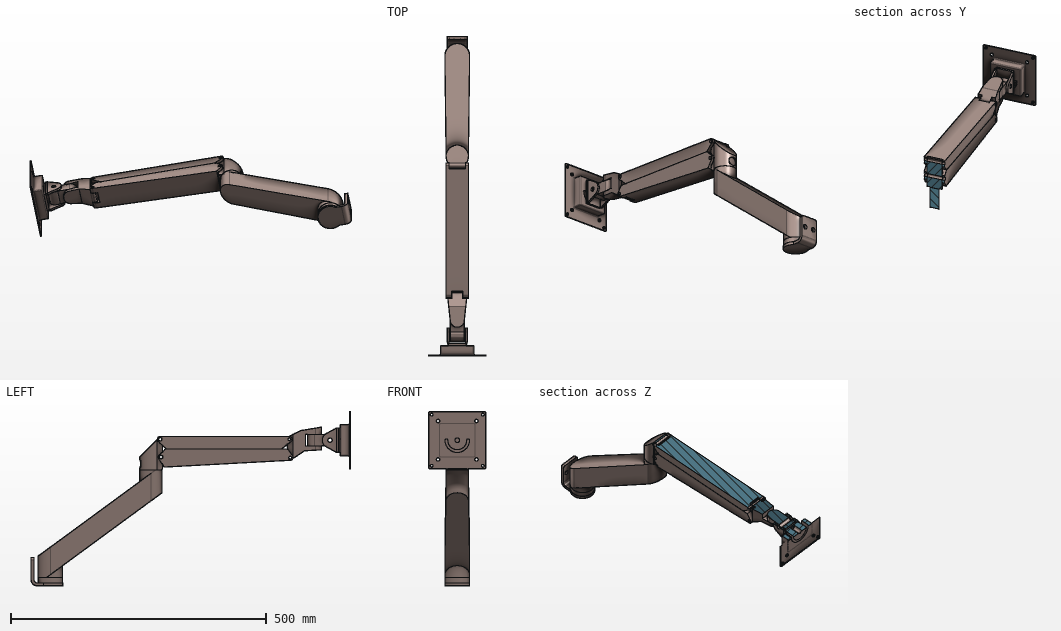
import cadquery as cq
import math




def tangent_outline(plane, discs):
    """Closed convex outline wrapped around discs (u, v, radius), listed counter-clockwise.

    A radius of zero makes a sharp corner.
    """
    count = len(discs)
    normals = []
    for i in range(count):
        u1, v1, r1 = discs[i]
        u2, v2, r2 = discs[(i + 1) % count]
        length = math.hypot(u2 - u1, v2 - v1)
        heading = math.atan2(v2 - v1, u2 - u1)
        normals.append(heading - math.pi / 2 + math.asin((r1 - r2) / length))

    def on_disc(disc, angle):
        return (disc[0] + disc[2] * math.cos(angle), disc[1] + disc[2] * math.sin(angle))

    outline = cq.Workplane(plane).moveTo(*on_disc(discs[0], normals[0]))
    for i in range(count):
        disc = discs[(i + 1) % count]
        arrive = normals[i]
        sweep = (normals[(i + 1) % count] - arrive) % (2 * math.pi)
        outline = outline.lineTo(*on_disc(disc, arrive))
        if disc[2] > 0:
            middle = on_disc(disc, arrive + sweep / 2)
            outline = outline.threePointArc(middle, on_disc(disc, arrive + sweep))
    return outline.close()


def side_profile(discs, width):
    """Solid of the given X width, centred on X = 0, from a tangent outline in (Y, Z)."""
    return tangent_outline("YZ", discs).extrude(width / 2, both=True)


def block(width, y_range, z_range):
    """Box centred on X = 0."""
    (y0, y1), (z0, z1) = y_range, z_range
    return cq.Workplane("XY").box(width, y1 - y0, z1 - z0).translate((0, (y0 + y1) / 2, (z0 + z1) / 2))


def post(diameter, y, z_range):
    """Vertical cylinder on the X = 0 plane."""
    z0, z1 = z_range
    return cq.Workplane("XY", origin=(0, y, z0)).circle(diameter / 2).extrude(z1 - z0)


def cross_pin(diameter, center, length):
    """Cylinder along X, centred on X = 0, at a (Y, Z) position."""
    return cq.Workplane("YZ").center(*center).circle(diameter / 2).extrude(length / 2, both=True)



total_length = 624.38
plate_size = 112.0
plate_top_z = 340.66
head_z = plate_top_z - plate_size / 2
through = 100.0

base_y = 586.3
base_diameter = 48.0
base_rim_diameter = 48.8
hook_width = 40.0
hook_thickness = 6.0
hook_height = 55.6
hook_bend_inner = 6.5
hook_corner_radius = 5.0
hook_hole_diameter = 9.0
hook_hole_spacing = 22.0
hook_hole_z = 33.0
base_joint_z = 16.0

elbow_y = 390.0
elbow_diameter = 44.0
elbow_joint_z = 226.3
arm_slope = 0.733
arm_top_at_base = 76.0
arm_vertical_depth = 54.0

elbow_low_z = 252.0
elbow_knuckle_width = 32.0
elbow_shoulder_y = 378.0
elbow_knuckle_front_y = 367.0
elbow_knuckle_radius = 5.0
elbow_knuckle_chamfer = 3.0
elbow_recess_diameter = 18.0
elbow_recess_depth = 3.0
elbow_recess_z = 238.5

link_width = 44.0
link_end_radius = 5.5
knuckle_clearance = 1.0
upper_rear_pivot = (372.0, 286.5)
lower_rear_pivot = (370.2, 251.7)
upper_front_pivot = (119.6, 286.5)
lower_front_pivot = (117.8, 250.7)
rear_pivot_diameter = 6.2
front_pivot_diameter = 5.0
link_split_z = 267.5
upper_rear_corner_y = 360.5
upper_front_corner_y = 134.5
lower_rear_corner_y = 361.5
lower_front_corner_y = 122.5
lower_link_heel = (364.3, 231.9)

wrist_rear_y = 112.0
wrist_rear_width = 37.0
wrist_rear_bottom = (wrist_rear_y, 249.0)
wrist_top_break = (97.0, 303.7)
wrist_front_top = (50.0, 311.5)
wrist_front_bottom = (50.0, 266.0)
wrist_bottom_break = (90.0, 263.7)
pan_y = 70.3
pan_diameter = 28.0
wrist_knuckle_width = 21.0
wrist_knuckle_upper_radius = 5.5
wrist_knuckle_lower_radius = 4.0
slot_rear_y = 87.6
tongue_thickness = 22.6
tongue_width = 28.0
tilt_y = 40.2
tilt_barrel_diameter = 26.5
tilt_hole_diameter = 8.0

plate_thickness = 1.9
plate_corner_radius = 3.0
vesa_patterns = [(100.0, 5.0), (75.0, 6.2)]
hub_width, hub_height = 66.0, 62.0
hub_rear_y = 20.2
hub_edge_radius = 1.8
hub_foot_radius = 2.0
center_hole_diameter = 9.0
arc_groove_outer_diameter = 48.0
arc_groove_width = 5.5
yoke_width = 40.0
yoke_gap = 32.0
yoke_end_radius = 15.0
yoke_base_height = 48.0
yoke_cheek_root_y = 27.4
yoke_pocket_y = 24.5
yoke_foot_y = 23.6
yoke_plate_width = 39.0
yoke_foot_width = 36.0



def make_base():
    hook_rear_y = total_length
    plate_z = (0, hook_thickness)
    floor = block(hook_width, (base_y, hook_rear_y), plate_z)
    upright = block(hook_width, (hook_rear_y - hook_thickness, hook_rear_y), (0, hook_height))
    upright = upright.edges("|Y and >Z").fillet(hook_corner_radius)
    hook = floor.union(upright)
    inner_corner = cq.selectors.NearestToPointSelector((0, hook_rear_y - hook_thickness, hook_thickness))
    outer_corner = cq.selectors.NearestToPointSelector((0, hook_rear_y, 0))
    hook = hook.edges(inner_corner).fillet(hook_bend_inner)
    hook = hook.edges(outer_corner).fillet(hook_bend_inner + hook_thickness)
    holes = (
        cq.Workplane("XZ", origin=(0, hook_rear_y, hook_hole_z))
        .rarray(hook_hole_spacing, 1, 2, 1)
        .circle(hook_hole_diameter / 2)
        .extrude(2 * hook_thickness, both=True)
    )
    disc = post(base_rim_diameter, base_y, plate_z)
    seat = post(base_diameter, base_y, (0, base_joint_z))
    return hook.cut(holes).union(disc).union(seat)



def make_lower_arm():
    base_radius = base_rim_diameter / 2
    elbow_radius = elbow_diameter / 2
    height = elbow_joint_z - base_joint_z
    plan = tangent_outline("XY", [(0, elbow_y, elbow_radius), (0, base_y, base_radius)])
    beam = plan.extrude(height).translate((0, 0, base_joint_z))

    def top_z(y):
        return arm_top_at_base + arm_slope * (base_y - y)

    rear_y = base_y + base_diameter
    front_y = elbow_y - elbow_diameter
    band = (
        cq.Workplane("YZ")
        .polyline([
            (front_y, top_z(front_y)),
            (rear_y, top_z(rear_y)),
            (rear_y, top_z(rear_y) - arm_vertical_depth),
            (front_y, top_z(front_y) - arm_vertical_depth),
        ])
        .close()
        .extrude(through, both=True)
    )
    base_stub = post(base_diameter, base_y, (base_joint_z, arm_top_at_base - base_radius * arm_slope))
    elbow_bottom_z = top_z(elbow_y) - arm_vertical_depth + elbow_radius * arm_slope
    elbow_stub = post(elbow_diameter, elbow_y, (elbow_bottom_z, elbow_joint_z))
    return beam.intersect(band).union(base_stub).union(elbow_stub)



def make_elbow():
    rear_y = elbow_y + elbow_diameter / 2
    shoulder_z = elbow_low_z + rear_y - elbow_shoulder_y
    column = post(elbow_diameter, elbow_y, (elbow_joint_z, shoulder_z))
    slant = (
        cq.Workplane("YZ")
        .polyline([
            (elbow_shoulder_y, elbow_joint_z),
            (rear_y, elbow_joint_z),
            (rear_y, elbow_low_z),
            (elbow_shoulder_y, shoulder_z),
        ])
        .close()
        .extrude(through, both=True)
    )
    knuckle = side_profile(
        [
            (elbow_knuckle_front_y + elbow_knuckle_chamfer, elbow_joint_z, 0),
            (elbow_shoulder_y, elbow_joint_z, 0),
            (elbow_shoulder_y, shoulder_z, 0),
            (*upper_rear_pivot, elbow_knuckle_radius),
            (elbow_knuckle_front_y, elbow_joint_z + elbow_knuckle_chamfer, 0),
        ],
        elbow_knuckle_width,
    )
    elbow = column.intersect(slant).union(knuckle)
    for pivot in (upper_rear_pivot, lower_rear_pivot):
        elbow = elbow.cut(cross_pin(rear_pivot_diameter, pivot, through))
    recess = (
        cq.Workplane("XZ", origin=(0, rear_y, elbow_recess_z))
        .circle(elbow_recess_diameter / 2)
        .extrude(elbow_recess_depth)
    )
    return elbow.cut(recess)



def finish_link(link, rear_pivot, front_pivot):
    """Cut the knuckle notches and pivot holes at both ends of a link."""
    rear_edge = elbow_knuckle_front_y - knuckle_clearance
    front_edge = upper_front_pivot[0] + wrist_knuckle_upper_radius + knuckle_clearance
    all_z = (elbow_joint_z - through, plate_top_z)
    link = link.cut(block(elbow_knuckle_width, (rear_edge, elbow_y), all_z))
    link = link.cut(block(wrist_knuckle_width + knuckle_clearance, (pan_y, front_edge), all_z))
    link = link.cut(cross_pin(rear_pivot_diameter, rear_pivot, through))
    return link.cut(cross_pin(front_pivot_diameter, front_pivot, through))


def make_upper_link():
    bar = side_profile(
        [
            (upper_front_corner_y, link_split_z, 0),
            (upper_rear_corner_y, link_split_z, 0),
            (*upper_rear_pivot, link_end_radius),
            (*upper_front_pivot, link_end_radius),
        ],
        link_width,
    )
    return finish_link(bar, upper_rear_pivot, upper_front_pivot)


def make_lower_link():
    bar = side_profile(
        [
            (*lower_front_pivot, link_end_radius),
            (*lower_link_heel, 0),
            (*lower_rear_pivot, link_end_radius),
            (lower_rear_corner_y, link_split_z, 0),
            (lower_front_corner_y, link_split_z, 0),
        ],
        link_width,
    )
    return finish_link(bar, lower_rear_pivot, lower_front_pivot)



def make_wrist():
    half_rear = wrist_rear_width / 2
    plan = tangent_outline(
        "XY",
        [(0, pan_y, pan_diameter / 2), (half_rear, wrist_rear_y, 0), (-half_rear, wrist_rear_y, 0)],
    ).extrude(plate_top_z)
    knuckle_y = (wrist_top_break[0], elbow_knuckle_front_y)
    plan = plan.union(block(wrist_knuckle_width, knuckle_y, (0, plate_top_z)))

    fork_side = (
        cq.Workplane("YZ")
        .polyline([
            wrist_rear_bottom,
            (wrist_rear_y, upper_front_pivot[1]),
            wrist_top_break,
            wrist_front_top,
            wrist_front_bottom,
            wrist_bottom_break,
        ])
        .close()
        .extrude(through, both=True)
    )
    knuckle_side = side_profile(
        [
            (*wrist_top_break, 0),
            (*wrist_rear_bottom, 0),
            (*lower_front_pivot, wrist_knuckle_lower_radius),
            (*upper_front_pivot, wrist_knuckle_upper_radius),
        ],
        2 * through,
    )
    slot_z = (head_z - tongue_thickness / 2, head_z + tongue_thickness / 2)
    fork = plan.intersect(fork_side.union(knuckle_side))
    fork = fork.cut(block(through, (0, slot_rear_y), slot_z))

    tongue = post(pan_diameter, pan_y, slot_z)
    tongue = tongue.union(block(tongue_width, (tilt_y, pan_y), slot_z))
    tongue = tongue.union(cross_pin(tilt_barrel_diameter, (tilt_y, head_z), tongue_width))

    wrist = fork.union(tongue)
    wrist = wrist.cut(cross_pin(tilt_hole_diameter, (tilt_y, head_z), through))
    for pivot in (upper_front_pivot, lower_front_pivot):
        wrist = wrist.cut(cross_pin(front_pivot_diameter, pivot, through))
    return wrist



def face_plane(y):
    """Plane parallel to the plate face, centred on the plate; its normal points to -Y."""
    return cq.Workplane("XZ", origin=(0, y, head_z))


def make_plate_and_hub():
    plate = face_plane(plate_thickness).rect(plate_size, plate_size).extrude(plate_thickness)
    plate = plate.edges("|Y").fillet(plate_corner_radius)
    for spacing, diameter in vesa_patterns:
        holes = face_plane(plate_thickness).rarray(spacing, spacing, 2, 2).circle(diameter / 2)
        plate = plate.cut(holes.extrude(plate_thickness))
    hub = face_plane(hub_rear_y).rect(hub_width, hub_height).extrude(hub_rear_y - plate_thickness)
    hub = hub.edges("|Y or >Y").fillet(hub_edge_radius)
    head = plate.union(hub)
    margin = hub_edge_radius / 2
    foot = cq.selectors.BoxSelector(
        (-hub_width / 2 - margin, plate_thickness - margin, head_z - hub_height / 2 - margin),
        (hub_width / 2 + margin, plate_thickness + margin, head_z + hub_height / 2 + margin),
    )
    return head.edges(foot).fillet(hub_foot_radius).cut(make_hub_pockets())


def make_hub_pockets():
    """Centre bore and half-ring slot, sunk from the back of the hub down to the plate."""
    depth = hub_rear_y - plate_thickness
    outer = arc_groove_outer_diameter / 2
    inner = outer - arc_groove_width
    end_radius = arc_groove_width / 2
    middle = outer - end_radius
    groove = (
        face_plane(hub_rear_y)
        .moveTo(-outer, 0)
        .threePointArc((0, -outer), (outer, 0))
        .threePointArc((middle, end_radius), (inner, 0))
        .threePointArc((0, -inner), (-inner, 0))
        .threePointArc((-middle, end_radius), (-outer, 0))
        .close()
        .extrude(depth)
    )
    center_hole = face_plane(hub_rear_y).circle(center_hole_diameter / 2).extrude(depth)
    return groove.union(center_hole)


def make_yoke():
    half_height = yoke_base_height / 2
    base_z = (head_z - half_height, head_z + half_height)
    cheeks = side_profile(
        [
            (yoke_cheek_root_y, base_z[1], 0),
            (yoke_cheek_root_y, base_z[0], 0),
            (tilt_y, head_z, yoke_end_radius),
        ],
        yoke_width,
    )
    yoke = cheeks.union(block(yoke_plate_width, (yoke_foot_y, yoke_cheek_root_y), base_z))
    yoke = yoke.union(block(yoke_foot_width, (hub_rear_y, yoke_foot_y), base_z))
    yoke = yoke.cut(block(yoke_gap, (yoke_pocket_y, pan_y), (0, plate_top_z)))
    return yoke.cut(cross_pin(tilt_hole_diameter, (tilt_y, head_z), through))


def make_head():
    return make_plate_and_hub().union(make_yoke())



base = make_base()
lower_arm = make_lower_arm()
elbow = make_elbow()
upper_link = make_upper_link()
lower_link = make_lower_link()
wrist = make_wrist()
head = make_head()

result = cq.Compound.makeCompound([
    base.solids().val(),
    lower_arm.solids().val(),
    elbow.solids().val(),
    upper_link.solids().val(),
    lower_link.solids().val(),
    wrist.solids().val(),
    head.solids().val(),
])